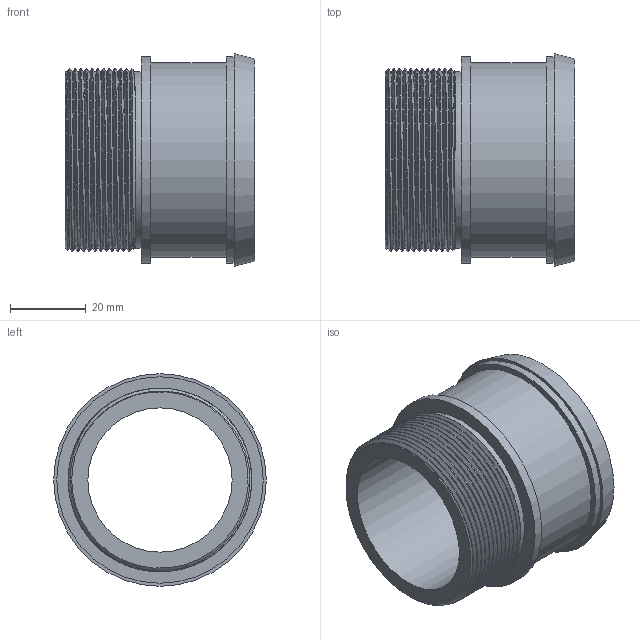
import cadquery as cq
import math

overall_length = 50.0
thread_length = 18.5
collar_start = 20.0
collar_end = 22.5
rim_start = 42.5
cone_start = 44.5

bore_diameter = 38.0
body_diameter = 51.2
collar_diameter = 54.4
cone_large_diameter = 56.0
cone_small_diameter = 53.2

neck_diameter = 46.5
thread_pitch = 1.5
depth_per_pitch = 0.6134
thread_depth = depth_per_pitch * thread_pitch
crest_width = thread_pitch / 8
flank_angle = math.radians(30)
root_radius = neck_diameter / 2
crest_radius = root_radius + thread_depth
ridge_embed = 0.2
thread_clearance = 0.1
crest_offset = 0.4


def revolve_about_x(points):
    """Solid of revolution from (x, radius) points."""
    return cq.Workplane("XY").polyline(points).close().revolve(360, (0, 0, 0), (1, 0, 0))


def make_body():
    """Hollow stepped body: neck, collar, barrel, rim and tapered end."""
    bore_radius = bore_diameter / 2
    body_radius = body_diameter / 2
    collar_radius = collar_diameter / 2
    return revolve_about_x([
        (0, bore_radius),
        (0, root_radius),
        (collar_start, root_radius),
        (collar_start, collar_radius),
        (collar_end, collar_radius),
        (collar_end, body_radius),
        (rim_start, body_radius),
        (rim_start, collar_radius),
        (cone_start, collar_radius),
        (cone_start, cone_large_diameter / 2),
        (overall_length, cone_small_diameter / 2),
        (overall_length, bore_radius),
    ])


def make_thread_envelope():
    """Sleeve with 45 degree end chamfers, rising from the root, that bounds the thread ridge."""
    outer_radius = crest_radius + thread_clearance
    inner_radius = root_radius - 2 * ridge_embed
    chamfer = outer_radius - root_radius
    return revolve_about_x([
        (0, inner_radius),
        (0, root_radius),
        (chamfer, outer_radius),
        (thread_length - chamfer, outer_radius),
        (thread_length + root_radius - inner_radius, inner_radius),
    ])


def make_thread():
    """Helical ridge, run past both ends and trimmed by the envelope."""
    start = crest_offset - thread_pitch
    helix_length = thread_length + 2 * thread_pitch
    helix = cq.Workplane(cq.Wire.makeHelix(thread_pitch, helix_length, root_radius))
    base_radius = root_radius - ridge_embed
    half_crest = crest_width / 2
    half_base = half_crest + (crest_radius - base_radius) * math.tan(flank_angle)
    ridge = (
        cq.Workplane("XZ")
        .polyline([
            (base_radius, -half_base),
            (crest_radius, -half_crest),
            (crest_radius, half_crest),
            (base_radius, half_base),
        ])
        .close()
        .sweep(helix, isFrenet=True)
    )
    ridge = ridge.rotate((0, 0, 0), (0, 1, 0), 90).translate((start, 0, 0))
    return ridge.intersect(make_thread_envelope())


result = make_body().union(make_thread()).solids()